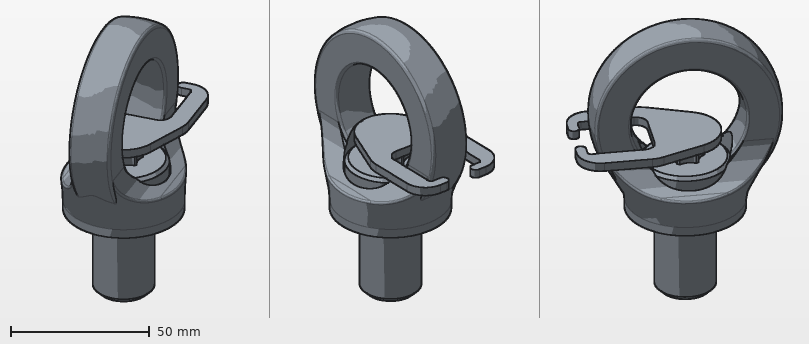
import cadquery as cq
import math

SHANK_RADIUS = 11.2
SHANK_CHAMFER = 2.3
SHANK_TOP = 32.9
WASHER_RADIUS = 18.0
WASHER_THICKNESS = 0.9

HEIGHT = 107.8
DEPTH = 76.4
RING_RADIUS = 35.0
RING_CENTER_Z = HEIGHT - RING_RADIUS
EYE_RADIUS = 20.2
RING_HALF_WIDTH = 8.0
RING_CROWN = 1.0
RING_EDGE = 1.3
EYE_EDGE = 1.0

BASE_RADIUS = 22.0
BASE_BOTTOM = SHANK_TOP + WASHER_THICKNESS
FLARE_BOTTOM = 37.3
FLANK_ANGLE = 29.3
FLARE_INSET = 0.16
FLARE_SECTIONS = 10
SHOULDER_RADIUS = 15.1
SHOULDER_ARC_END_X = 18.9
SHOULDER_TOP = 63.2
SHOULDER_EDGE = 0.9
SHOULDER_MARGIN = 1.1

HEAD_RADIUS = 16.5
SEAT_BOTTOM = 48.5
HEAD_TOP = 54.5
HEAD_CHAMFER = 1.3
HEAD_CLEARANCE = 0.4
DRIVE_RADIUS = 7.0
DRIVE_CORNER_WIDTH = 1.1
DRIVE_FLUTE_DEPTH = 0.5

PLATE_BOTTOM = 61.9
PLATE_THICKNESS = 3.3
PLATE_HALF_WIDTH = 19.1
PLATE_NOSE_RADIUS = 13.0
PLATE_END_Y = DEPTH - RING_RADIUS
PLATE_WAIST_ANGLE = 21.3
PLATE_WAIST_BLEND = 11.4
SLOT_HALF_WIDTH = 11.9
SLOT_BOTTOM_Y = 12.4
SLOT_CORNER_RADIUS = 4.3
HOOK_THICKNESS = 4.0
HOOK_TIP_X = 5.5
HOOK_OUTER_RADIUS = 8.6
HOOK_INNER_RADIUS = 1.3


def cylinder(radius, bottom, top):
    return cq.Workplane("XY").workplane(offset=bottom).circle(radius).extrude(top - bottom)


def revolve_about_ring_axis(profile):
    """Revolve a profile drawn with X along the ring axis and Y as the radius."""
    return profile.close().revolve(360, (0, 0, 0), (1, 0, 0)).translate((0, 0, RING_CENTER_Z))


def make_ring_blank():
    edge_radius = RING_RADIUS - RING_CROWN
    profile = (
        cq.Workplane("XY")
        .moveTo(-RING_HALF_WIDTH, 0)
        .lineTo(-RING_HALF_WIDTH, edge_radius)
        .threePointArc((0, RING_RADIUS), (RING_HALF_WIDTH, edge_radius))
        .lineTo(RING_HALF_WIDTH, 0)
    )
    return revolve_about_ring_axis(profile).faces("<X or >X").edges().fillet(RING_EDGE)


def make_eye():
    """Cutter with a crowned throat, a rounded mouth at each ring face and a straight run outside."""
    edge_radius = EYE_RADIUS + RING_CROWN
    mouth_radius = edge_radius + EYE_EDGE
    mouth_x = RING_HALF_WIDTH - EYE_EDGE
    sag = EYE_EDGE * (1 - math.sqrt(0.5))
    profile = (
        cq.Workplane("XY")
        .moveTo(-BASE_RADIUS, 0)
        .lineTo(-BASE_RADIUS, mouth_radius)
        .lineTo(-RING_HALF_WIDTH, mouth_radius)
        .threePointArc((-RING_HALF_WIDTH + sag, edge_radius + sag), (-mouth_x, edge_radius))
        .threePointArc((0, EYE_RADIUS), (mouth_x, edge_radius))
        .threePointArc((RING_HALF_WIDTH - sag, edge_radius + sag), (RING_HALF_WIDTH, mouth_radius))
        .lineTo(BASE_RADIUS, mouth_radius)
        .lineTo(BASE_RADIUS, 0)
    )
    return revolve_about_ring_axis(profile)


def flare_half_depth(z):
    """Half size along Y of the flare: an arc off the base, a flank tangent to the ring,
    then just inside the ring so that the ring keeps its own surface."""
    angle = math.radians(FLANK_ANGLE)
    tangent_y = RING_RADIUS * math.cos(angle)
    tangent_z = RING_CENTER_Z - RING_RADIUS * math.sin(angle)
    if z >= tangent_z:
        return math.sqrt(RING_RADIUS**2 - (RING_CENTER_Z - z) ** 2) - FLARE_INSET
    corner_z = tangent_z - (tangent_y - BASE_RADIUS) / math.tan(angle)
    blend_radius = (corner_z - FLARE_BOTTOM) / math.tan(angle / 2)
    if z >= FLARE_BOTTOM + blend_radius * math.sin(angle):
        return tangent_y - (tangent_z - z) * math.tan(angle)
    return BASE_RADIUS + blend_radius - math.sqrt(blend_radius**2 - (z - FLARE_BOTTOM) ** 2)


def make_flare():
    step = (SHOULDER_TOP - FLARE_BOTTOM) / (FLARE_SECTIONS - 1)
    flare = cq.Workplane("XY").workplane(offset=FLARE_BOTTOM)
    for index in range(FLARE_SECTIONS):
        if index:
            flare = flare.workplane(offset=step)
        flare = flare.ellipse(flare_half_depth(FLARE_BOTTOM + index * step), BASE_RADIUS, 90)
    return flare.loft()


def make_shoulder_block():
    """Block that narrows from base to ring: each shoulder is a ramp, then a concave arc."""
    arc_center_x = RING_HALF_WIDTH + SHOULDER_RADIUS
    ramp_angle = math.asin((arc_center_x - SHOULDER_ARC_END_X) / SHOULDER_RADIUS)
    arc_end_z = SHOULDER_TOP - SHOULDER_RADIUS * math.cos(ramp_angle)
    ramp_end_x = BASE_RADIUS + SHOULDER_MARGIN
    ramp_end_z = arc_end_z - (ramp_end_x - SHOULDER_ARC_END_X) * math.tan(ramp_angle)
    middle_x = arc_center_x - SHOULDER_RADIUS * math.sqrt(0.5)
    middle_z = SHOULDER_TOP - SHOULDER_RADIUS * math.sqrt(0.5)
    return (
        cq.Workplane("XZ")
        .moveTo(-ramp_end_x, BASE_BOTTOM)
        .lineTo(-ramp_end_x, ramp_end_z)
        .lineTo(-SHOULDER_ARC_END_X, arc_end_z)
        .threePointArc((-middle_x, middle_z), (-RING_HALF_WIDTH, SHOULDER_TOP))
        .lineTo(RING_HALF_WIDTH, SHOULDER_TOP)
        .threePointArc((middle_x, middle_z), (SHOULDER_ARC_END_X, arc_end_z))
        .lineTo(ramp_end_x, ramp_end_z)
        .lineTo(ramp_end_x, BASE_BOTTOM)
        .close()
        .extrude(RING_RADIUS, both=True)
    )


def is_sloped(box):
    """True for the box of an edge that runs along both X and Z."""
    smallest_run = 0.1
    return box.xlen > smallest_run and box.zlen > smallest_run


def make_base():
    base = cylinder(BASE_RADIUS, BASE_BOTTOM, FLARE_BOTTOM).union(make_flare())
    base = base.intersect(make_shoulder_block())
    rims = [edge for edge in base.edges().vals() if is_sloped(edge.BoundingBox())]
    return base.newObject(rims).fillet(SHOULDER_EDGE)


def make_shank():
    shank = cylinder(SHANK_RADIUS, 0, BASE_BOTTOM).faces("<Z").chamfer(SHANK_CHAMFER)
    return shank.union(cylinder(WASHER_RADIUS, SHANK_TOP, BASE_BOTTOM))


def make_drive():
    """Hexagon with a narrow flat on each corner and a shallow flute in each side."""
    half_angle = math.degrees(math.asin(DRIVE_CORNER_WIDTH / 2 / DRIVE_RADIUS))
    flute_radius = DRIVE_RADIUS * math.cos(math.radians(30)) - DRIVE_FLUTE_DEPTH

    def polar(radius, degrees):
        return (radius * math.cos(math.radians(degrees)), radius * math.sin(math.radians(degrees)))

    drive = cq.Workplane("XY").workplane(offset=HEAD_TOP).moveTo(*polar(DRIVE_RADIUS, 30 - half_angle))
    for corner in range(30, 390, 60):
        drive = drive.lineTo(*polar(DRIVE_RADIUS, corner + half_angle))
        drive = drive.threePointArc(
            polar(flute_radius, corner + 30), polar(DRIVE_RADIUS, corner + 60 - half_angle)
        )
    return drive.close().extrude(PLATE_BOTTOM - HEAD_TOP)


def make_head():
    head = cylinder(HEAD_RADIUS, SEAT_BOTTOM, HEAD_TOP).faces(">Z").chamfer(HEAD_CHAMFER)
    return head.union(make_drive())


def make_head_seat():
    """Cutter that clears the ring and shoulders around the bolt head and above it."""
    return cylinder(HEAD_RADIUS + HEAD_CLEARANCE, SEAT_BOTTOM, RING_CENTER_Z)


def plate_block(half_width, length, start_y):
    block = cq.Workplane("XY").box(
        2 * half_width, length, PLATE_THICKNESS, centered=(True, False, False)
    )
    return block.translate((0, start_y, PLATE_BOTTOM))


def make_plate():
    waist = math.radians(PLATE_WAIST_ANGLE)
    nose_x = PLATE_NOSE_RADIUS * math.cos(waist)
    nose_y = -PLATE_NOSE_RADIUS * math.sin(waist)
    waist_y = nose_y + (PLATE_HALF_WIDTH - nose_x) / math.tan(waist)
    hook_inner_y = PLATE_END_Y - HOOK_THICKNESS

    plate = (
        cq.Workplane("XY")
        .workplane(offset=PLATE_BOTTOM)
        .moveTo(nose_x, nose_y)
        .lineTo(PLATE_HALF_WIDTH, waist_y)
        .lineTo(PLATE_HALF_WIDTH, PLATE_END_Y)
        .lineTo(-PLATE_HALF_WIDTH, PLATE_END_Y)
        .lineTo(-PLATE_HALF_WIDTH, waist_y)
        .lineTo(-nose_x, nose_y)
        .threePointArc((0, -PLATE_NOSE_RADIUS), (nose_x, nose_y))
        .close()
        .extrude(PLATE_THICKNESS)
    )
    plate = plate.edges("|Z and >Y").fillet(HOOK_OUTER_RADIUS)
    plate_middle = PLATE_BOTTOM + PLATE_THICKNESS / 2
    for side in (-1, 1):
        waist_corner = (side * PLATE_HALF_WIDTH, waist_y, plate_middle)
        waist_edge = cq.selectors.NearestToPointSelector(waist_corner)
        plate = plate.edges(waist_edge).fillet(PLATE_WAIST_BLEND)

    slot_length = hook_inner_y - SLOT_BOTTOM_Y
    slot = (
        plate_block(SLOT_HALF_WIDTH, slot_length, SLOT_BOTTOM_Y)
        .edges("|Z and <Y")
        .fillet(SLOT_CORNER_RADIUS)
        .edges("|Z and >Y")
        .fillet(HOOK_INNER_RADIUS)
    )
    tip_radius = HOOK_THICKNESS / 2
    tip_center_x = HOOK_TIP_X + tip_radius
    mouth = plate_block(tip_center_x, HOOK_THICKNESS, hook_inner_y)
    tips = (
        cq.Workplane("XY")
        .workplane(offset=PLATE_BOTTOM)
        .pushPoints([(side * tip_center_x, PLATE_END_Y - tip_radius) for side in (-1, 1)])
        .circle(tip_radius)
        .extrude(PLATE_THICKNESS)
    )
    return plate.cut(slot).cut(mouth).union(tips)


body = make_base().union(make_ring_blank()).cut(make_eye()).cut(make_head_seat())
result = body.union(make_shank()).union(make_head()).union(make_plate())